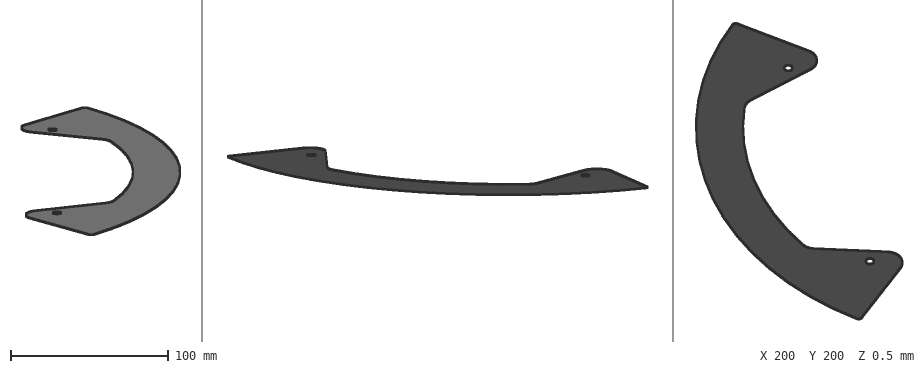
import cadquery as cq
import math

outer_radius = 200.0
inner_radius = 170.0
thickness = 0.5

lobe_corner = 130.4
lobe_slope = math.radians(25.0)
lobe_fillet = 10.0
junction_fillet = 10.0
tip_fillet = 2.0

hole_diameter = 5.2
hole_inset = 20.0
hole_reach = 150.0


def mirrored(point):
    """Reflect a point across the symmetry line X = Y."""
    return (point[1], point[0])


def point_on_diagonal(radius):
    return (radius * math.cos(math.pi / 4), radius * math.sin(math.pi / 4))


along_edge = lobe_corner * math.sin(lobe_slope)
distance_to_edge = lobe_corner * math.cos(lobe_slope)
edge_length = math.sqrt(inner_radius**2 - distance_to_edge**2) - along_edge
junction = (
    edge_length * math.cos(lobe_slope),
    lobe_corner + edge_length * math.sin(lobe_slope),
)
lobe = (0, lobe_corner)
tip = (0, outer_radius)
hole = (hole_inset, hole_reach)

plate = (
    cq.Workplane("XY")
    .moveTo(*lobe)
    .lineTo(*tip)
    .threePointArc(point_on_diagonal(outer_radius), mirrored(tip))
    .lineTo(*mirrored(lobe))
    .lineTo(*mirrored(junction))
    .threePointArc(point_on_diagonal(inner_radius), junction)
    .close()
    .extrude(thickness)
)

for corner, radius in (
    (lobe, lobe_fillet),
    (junction, junction_fillet),
    (tip, tip_fillet),
):
    for x, y in (corner, mirrored(corner)):
        nearest_edge = cq.selectors.NearestToPointSelector((x, y, thickness / 2))
        plate = plate.edges("|Z").edges(nearest_edge).fillet(radius)

hole_cutters = (
    cq.Workplane("XY")
    .pushPoints([hole, mirrored(hole)])
    .circle(hole_diameter / 2)
    .extrude(thickness)
)

result = plate.cut(hole_cutters)